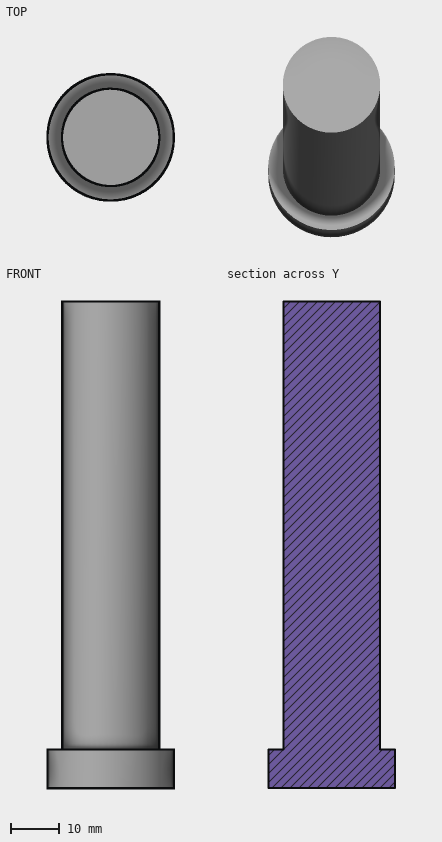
import cadquery as cq

total_length = 100.0
shank_diameter = 20.0
head_diameter = 26.0
head_height = 8.0

head = cq.Workplane("XY").circle(head_diameter / 2).extrude(head_height)
shank = cq.Workplane("XY").circle(shank_diameter / 2).extrude(total_length)

result = head.union(shank)